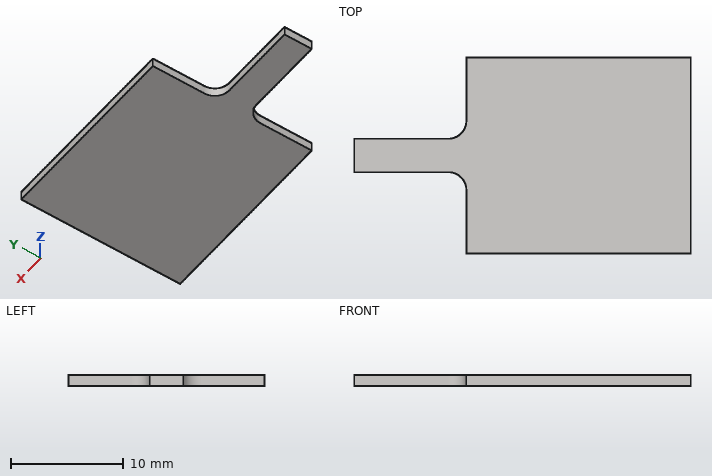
import cadquery as cq

total_length = 30.0
plate_length = 20.0
plate_width = 17.5
handle_width = 3.0
thickness = 1.0
corner_radius = 1.6

handle_length = total_length - plate_length

plate = cq.Workplane("XY").box(
    plate_length, plate_width, thickness, centered=(False, True, False)
)

handle = (
    cq.Workplane("XY")
    .box(handle_length, handle_width, thickness, centered=(False, True, False))
    .translate((-handle_length, 0, 0))
)

inner_corners = cq.selectors.BoxSelector(
    (-corner_radius, -handle_width, -thickness),
    (corner_radius, handle_width, 2 * thickness),
)
result = plate.union(handle).edges("|Z").edges(inner_corners).fillet(corner_radius)